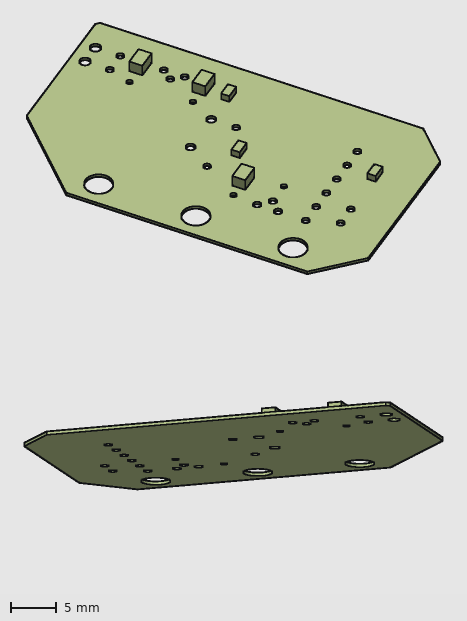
import cadquery as cq

BOARD_LENGTH = 43.75
BOARD_WIDTH = 26.73
BOARD_THICKNESS = 0.4
CUT_LOWER_LEFT = 9.5
CUT_LOWER_RIGHT = 4.95
CUT_UPPER_RIGHT = 4.05
CUT_UPPER_LEFT = 0.4

MOUNT_DIAMETER = 3.2
WIRE_DIAMETER = 1.25
TERMINAL_DIAMETER = 1.1
LEAD_DIAMETER = 0.9
PAD_DIAMETER = 0.87
VIA_DIAMETER = 0.7

PITCH = 2.55
MOUNT_FIRST_X = 12.05
MOUNT_SPACING = 11.8
MOUNT_Y = 2.85
UPPER_ROW_Y = 22.85
WIRE_X = 1.75
LEFT_PAIR_X = 4.75
UPPER_TRIANGLE_X = 11.35
UPPER_TRIANGLE_DROP = 1.0
TERMINAL_X = 18.3
TERMINAL_Y = 17.85
TERMINAL_SPACING = 2 * PITCH
MIDDLE_PAIR_X = 21.3
MIDDLE_PAIR_LOWER_Y = 10.7
HEADER_X = 34.9
HEADER_Y = 7.5
HEADER_COUNT = 6
RIGHT_PAIR_X = 38.5
RIGHT_PAIR_Y = 8.8
LOWER_TRIANGLE_X = 30.25
LOWER_TRIANGLE_RISE = PITCH / 2

LARGE_LENGTH = 1.57
LARGE_WIDTH = 2.27
LARGE_HEIGHT = 1.4
SMALL_LENGTH = 1.0
SMALL_WIDTH = 1.7
SMALL_HEIGHT = 0.85
UPPER_CHIP_Y = 22.15
FIRST_LARGE_X = 7.55
SECOND_LARGE_X = 15.2
THIRD_LARGE_X = 26.0
LARGE_CENTERS = [(FIRST_LARGE_X, UPPER_CHIP_Y), (SECOND_LARGE_X, UPPER_CHIP_Y), (THIRD_LARGE_X, 10.2)]
SMALL_CENTERS = [(TERMINAL_X, UPPER_CHIP_Y), (23.4, 14.35), (38.4, 17.4)]

VIA_CENTERS = [(FIRST_LARGE_X, 19.4), (SECOND_LARGE_X, 19.55), (THIRD_LARGE_X, 7.75), (LOWER_TRIANGLE_X, 11.45)]


def column(x, y, count, spacing=PITCH):
    """Hole centers in a straight column rising from (x, y)."""
    return [(x, y + i * spacing) for i in range(count)]


def triangle(x, base_y, apex_offset):
    """Two holes one pitch apart and a third midway, offset in Y."""
    return [(x - PITCH / 2, base_y), (x + PITCH / 2, base_y), (x, base_y + apex_offset)]


def board_blank():
    """Rectangular plate with its four corners cut at 45 degrees."""
    outline = [
        (CUT_LOWER_LEFT, 0),
        (BOARD_LENGTH - CUT_LOWER_RIGHT, 0),
        (BOARD_LENGTH, CUT_LOWER_RIGHT),
        (BOARD_LENGTH, BOARD_WIDTH - CUT_UPPER_RIGHT),
        (BOARD_LENGTH - CUT_UPPER_RIGHT, BOARD_WIDTH),
        (CUT_UPPER_LEFT, BOARD_WIDTH),
        (0, BOARD_WIDTH - CUT_UPPER_LEFT),
        (0, CUT_LOWER_LEFT),
    ]
    return cq.Workplane("XY").polyline(outline).close().extrude(BOARD_THICKNESS)


def drill(plate, centers, diameter):
    """Cut through holes of one diameter."""
    drills = cq.Workplane("XY").pushPoints(centers).circle(diameter / 2).extrude(BOARD_THICKNESS)
    return plate.cut(drills)


def make_board():
    """Plate with mounting, wire, terminal, lead, pad and via holes."""
    mounts = [(MOUNT_FIRST_X + i * MOUNT_SPACING, MOUNT_Y) for i in range(3)]
    wires = column(WIRE_X, UPPER_ROW_Y - PITCH, 2)
    terminals = column(TERMINAL_X, TERMINAL_Y - TERMINAL_SPACING, 2, TERMINAL_SPACING)
    leads = triangle(LOWER_TRIANGLE_X, HEADER_Y, LOWER_TRIANGLE_RISE)
    pads = (
        column(LEFT_PAIR_X, UPPER_ROW_Y - PITCH, 2)
        + triangle(UPPER_TRIANGLE_X, UPPER_ROW_Y, -UPPER_TRIANGLE_DROP)
        + [(MIDDLE_PAIR_X, TERMINAL_Y), (MIDDLE_PAIR_X, MIDDLE_PAIR_LOWER_Y)]
        + column(HEADER_X, HEADER_Y, HEADER_COUNT)
        + column(RIGHT_PAIR_X, RIGHT_PAIR_Y, 2)
    )
    plate = board_blank()
    plate = drill(plate, mounts, MOUNT_DIAMETER)
    plate = drill(plate, wires, WIRE_DIAMETER)
    plate = drill(plate, terminals, TERMINAL_DIAMETER)
    plate = drill(plate, leads, LEAD_DIAMETER)
    plate = drill(plate, pads, PAD_DIAMETER)
    return drill(plate, VIA_CENTERS, VIA_DIAMETER)


def make_component(center, length, width, height):
    """Block component resting on the top face of the board."""
    x, y = center
    block = cq.Workplane("XY").box(length, width, height, centered=(True, True, False))
    return block.translate((x, y, BOARD_THICKNESS))


board = make_board()
large_components = [make_component(c, LARGE_LENGTH, LARGE_WIDTH, LARGE_HEIGHT) for c in LARGE_CENTERS]
small_components = [make_component(c, SMALL_LENGTH, SMALL_WIDTH, SMALL_HEIGHT) for c in SMALL_CENTERS]

bodies = [board] + large_components + small_components
result = cq.Compound.makeCompound([body.val() for body in bodies])